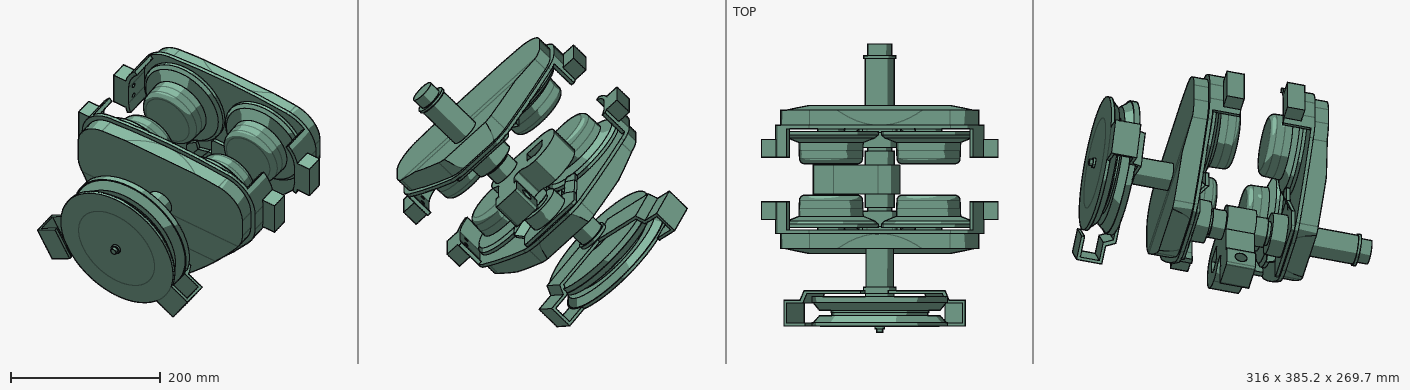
import cadquery as cq
import math


plate_inner_y = 67.5
plate_thickness = 5.0
plate_outer_y = plate_inner_y + plate_thickness
plate_half_width = 139.5
plate_top_z = 172.2
plate_bottom_z = -39.5
crown_slope = 5.4
corner_radius = 49.7
corner_x = plate_half_width - corner_radius
corner_z = 118.0
side_lower_z = 89.0
lower_bend_angle = 18.5
flank_top = (129.5, 58.5)
flank_middle = (90.5, 10.0)
flank_bottom = (53.0, -29.3)
flank_foot_bend = (40.5, -37.0)
foot_half_width = 25.0
cover_inset = 7.0
cover_upper_y = 92.5
cover_lower_y = 99.0
cover_slope_top_z = 65.5
cover_slope_bottom_z = 24.5
cover_draft = 5

arm_thickness = 5.8
arm_end_y = 29.5
arm_top_angle = 46
arm_bottom_angle = 22
bumper_end_x = 158.0
bumper_length = 24.0
bumper_height = 50.0
bumper_z = 103.3
bumper_y = arm_end_y + bumper_length / 2
bolt_hole_diameter = 5.8
bolt_hole_depth = 11.5
bolt_hole_spacing = 18.5

wheel_x = 65.0
wheel_z = 103.0
wheel_hub_radius = 17.7
flange_radius = 63.0
flange_bevel_radius = 58.5
tread_root_radius = 43.0
tread_middle_radius = 42.8
tread_tip_radius = 42.0
flange_back_y = 64.5
flange_front_y = 59.7
flange_bevel_y = 55.5
tread_root_y = 49.5
tread_middle_y = 39.0
wheel_face_y = 20.8
wheel_fillet = 7.5
boss_end_y = 42.5
boss_tip_radius = 28.0
boss_root_radius = 29.0

keeper_thickness = 4.5
keeper_neck_half_width = 22.7
keeper_top_z = 54.5
keeper_bottom_z = -33.5
keeper_corner_radius = 5.5
keeper_fold_top = (27.7, 29.0)
keeper_fold_bottom = (46.2, 1.0)
keeper_ramp_run = 12.5
keeper_ramp_rise = 9.2
keeper_ear_points = [(56.5, 33.5), (52.0, 39.3), (41.5, 46.5)]

hanger_width = 39.3
eye_radius = 27.5
shoulder_slope = 5
loop_shoulder = (-62.0, 22.0)
loop_upper_bend = (-81.5, 12.7)
loop_side = (-88.5, -8.0)
loop_lower_bend = (-80.5, -38.0)
loop_bottom = (-54, -53.0)
loop_underside = (-37.0, -48.0)
loop_crest = (-23.5, -40.5)
opening_right_x = -38.5
opening_left_x = -66.5
opening_side_z = -15.0
opening_bend = (-62.0, -27)
opening_bottom = (-52.8, -31.2)
opening_corner_z = -25.0
stem_bend = (-17.5, -42.5)
stem_root_z = -47.5
stem_half_width = 14.5
head_half_width = 19.3
head_top_z = -64.7
head_bottom_z = -97.5
head_fillet = 3.0
cross_hole_diameter = 16.0
cross_hole_z = -81.0

shaft_radius = 16.0
spacer_radius = 19.5
spacer_end_y = 37.8
shaft_front_y = -plate_outer_y
shaft_rear_y = 181.0
washer_radius = 21.5
washer_inner_y = 161.5
washer_outer_y = 165.3

drive_z = 78.0
tube_radius = 18.5
collar_radius = 22.0
collar_back_y = -143.7
guide_back_y = -148.5
sheet_thickness = 4.2
drive_hub_radius = 19.3
chain_wheel_radius = 90.5
rim_bevel_radius = 89.0
groove_lip_radius = 80.5
groove_radius = 65.5
groove_front_radius = 64.5
chain_wheel_back_y = -156.5
back_rim_end_y = -164.5
groove_back_y = -175.0
groove_step_y = -177.5
groove_front_y = -182.0
front_rim_start_y = -191.0
front_rim_end_y = -195.7
web_radius = 61.3
web_y = -196.5
nut_radius = 6.5
nut_end_y = -199.5
axle_radius = 4.2
axle_end_y = -204.2
guide_angle = 30
guide_width = 47.5
guide_slope_start = 87.0
guide_slope_end = 93.2
guide_end = 118.3
guide_lip_end = 85.5
guide_step_y = -161.0
left_guide_shift = 14.0


def revolve_about_y(profile):
    """Solid of revolution about the Y axis from (radius, y) points."""
    return cq.Workplane("XY").polyline(profile).close().revolve(360, (0, 0, 0), (0, 1, 0))


def rod(radius, start_y, end_y):
    """Round bar along Y, centred on the Y axis."""
    return cq.Workplane("XZ", origin=(0, start_y, 0)).circle(radius).extrude(start_y - end_y)


def box_between(x_range, y_range, z_range):
    size = [end - start for start, end in (x_range, y_range, z_range)]
    return cq.Workplane("XY", origin=(x_range[0], y_range[0], z_range[0])).box(*size, centered=False)


def mirrored(point):
    return (-point[0], point[1])


def side_outline(inset, start_y, end_y):
    """Rounded, tapering side outline, shrunk by inset and extruded between two Y positions."""
    diagonal = corner_radius * math.sqrt(0.5)
    left_edge = (-plate_half_width, corner_z)
    left_corner = (-corner_x - diagonal, corner_z + diagonal)
    shoulder_angle = math.radians(crown_slope)
    left_shoulder = (
        -corner_x - corner_radius * math.sin(shoulder_angle),
        corner_z + corner_radius * math.cos(shoulder_angle),
    )
    lower_left_edge = (-plate_half_width, side_lower_z)
    bend_angle = math.radians(lower_bend_angle)
    lower_bend = (
        -corner_x - corner_radius * math.cos(bend_angle),
        side_lower_z - corner_radius * math.sin(bend_angle),
    )
    foot_bend = mirrored(flank_foot_bend)
    foot = (-foot_half_width, plate_bottom_z)
    outline = (
        cq.Workplane("XZ", origin=(0, start_y, 0))
        .moveTo(*left_edge)
        .threePointArc(left_corner, left_shoulder)
        .threePointArc((0, plate_top_z), mirrored(left_shoulder))
        .threePointArc(mirrored(left_corner), mirrored(left_edge))
        .lineTo(*mirrored(lower_left_edge))
        .threePointArc(mirrored(lower_bend), flank_top)
        .threePointArc(flank_middle, flank_bottom)
        .threePointArc(mirrored(foot_bend), mirrored(foot))
        .lineTo(*foot)
        .threePointArc(foot_bend, mirrored(flank_bottom))
        .threePointArc(mirrored(flank_middle), mirrored(flank_top))
        .threePointArc(lower_bend, lower_left_edge)
        .close()
    )
    if inset:
        outline = outline.offset2D(-inset)
    return outline.extrude(start_y - end_y)


def make_cover():
    """Raised cover whose upper face steps back from the lower face over a short slope."""
    cover = side_outline(cover_inset, plate_outer_y, cover_lower_y)
    relief = (
        cq.Workplane("YZ", origin=(-plate_half_width, 0, 0))
        .moveTo(cover_lower_y, cover_slope_bottom_z)
        .lineTo(cover_upper_y, cover_slope_top_z)
        .lineTo(cover_upper_y, plate_top_z)
        .lineTo(cover_lower_y, plate_top_z)
        .close()
        .extrude(2 * plate_half_width)
    )
    cover_top_z = plate_top_z - cover_inset
    cover_bottom_z = plate_bottom_z + cover_inset
    taper = (cover_lower_y - plate_outer_y) * math.tan(math.radians(cover_draft))
    drafted_block = (
        cq.Workplane("YZ", origin=(-plate_half_width, 0, 0))
        .moveTo(plate_outer_y, cover_bottom_z)
        .lineTo(plate_outer_y, cover_top_z)
        .lineTo(cover_lower_y, cover_top_z - taper)
        .lineTo(cover_lower_y, cover_bottom_z + taper)
        .close()
        .extrude(2 * plate_half_width)
    )
    return cover.cut(relief).intersect(drafted_block)


def make_arm_sector():
    """Region on the +X side that bounds an arm, with ends cut square to the plate edge."""
    reach = 2 * corner_radius
    top = math.radians(arm_top_angle)
    bottom = math.radians(arm_bottom_angle)
    return (
        cq.Workplane("XZ", origin=(0, plate_inner_y, 0))
        .moveTo(corner_x, corner_z)
        .lineTo(corner_x + reach * math.cos(top), corner_z + reach * math.sin(top))
        .lineTo(corner_x + reach * math.cos(bottom), side_lower_z - reach * math.sin(bottom))
        .lineTo(corner_x, side_lower_z)
        .close()
        .extrude(plate_inner_y - arm_end_y)
    )


def make_arms():
    """Two curved arms that follow the plate edge and carry the bumpers."""
    ring = side_outline(0, arm_end_y, plate_inner_y).cut(
        side_outline(arm_thickness, arm_end_y, plate_inner_y)
    )
    arms = ring.intersect(make_arm_sector().union(make_arm_sector().mirror("YZ")))
    inner_x = plate_half_width - arm_thickness
    for side in (-1, 1):
        bumper_x = side * (plate_half_width - arm_thickness / 2 + bumper_end_x) / 2
        bumper_size = bumper_end_x - plate_half_width + arm_thickness / 2
        bumper = cq.Workplane("XY", origin=(bumper_x, bumper_y, bumper_z)).box(
            bumper_size, bumper_length, bumper_height
        )
        arms = arms.union(bumper)
        for offset in (-bolt_hole_spacing / 2, bolt_hole_spacing / 2):
            hole = (
                cq.Workplane("YZ", origin=(side * inner_x, bumper_y, bumper_z + offset))
                .circle(bolt_hole_diameter / 2)
                .extrude(side * bolt_hole_depth)
            )
            arms = arms.cut(hole)
    return arms


def make_running_wheel():
    profile = [
        (0, plate_inner_y),
        (wheel_hub_radius, plate_inner_y),
        (wheel_hub_radius, flange_back_y),
        (flange_radius, flange_back_y),
        (flange_radius, flange_front_y),
        (flange_bevel_radius, flange_bevel_y),
        (tread_root_radius, tread_root_y),
        (tread_middle_radius, tread_middle_y),
        (tread_tip_radius, wheel_face_y),
        (0, wheel_face_y),
    ]
    return revolve_about_y(profile).faces("<Y").edges().fillet(wheel_fillet)


def make_keeper_ear():
    """Ramp and raised flat ear on the +X side of the keeper plate."""
    run_x = keeper_fold_bottom[0] - keeper_fold_top[0]
    run_z = keeper_fold_bottom[1] - keeper_fold_top[1]
    fold_length = math.hypot(run_x, run_z)
    outward = (-run_z / fold_length, run_x / fold_length)
    front_y = plate_inner_y - keeper_thickness
    fold_plane = cq.Plane(
        origin=(keeper_fold_top[0], 0, keeper_fold_top[1]),
        xDir=(0, 1, 0),
        normal=(run_x, 0, run_z),
    )
    ramp = (
        cq.Workplane(fold_plane)
        .moveTo(plate_inner_y, 0)
        .lineTo(front_y, 0)
        .lineTo(front_y - keeper_ramp_rise, keeper_ramp_run)
        .lineTo(plate_inner_y - keeper_ramp_rise, keeper_ramp_run)
        .close()
        .extrude(fold_length)
    )
    ear_root = [
        (fold_end[0] + outward[0] * keeper_ramp_run, fold_end[1] + outward[1] * keeper_ramp_run)
        for fold_end in (keeper_fold_top, keeper_fold_bottom)
    ]
    ear = (
        cq.Workplane("XZ", origin=(0, plate_inner_y - keeper_ramp_rise, 0))
        .polyline(ear_root + keeper_ear_points)
        .close()
        .extrude(keeper_thickness)
    )
    return ramp.union(ear)


def make_keeper_plate():
    right_edge = [
        (keeper_neck_half_width, keeper_top_z),
        (keeper_neck_half_width, keeper_fold_top[1]),
        keeper_fold_top,
        keeper_fold_bottom,
        (keeper_fold_bottom[0], keeper_bottom_z),
    ]
    left_edge = [mirrored(point) for point in reversed(right_edge)]
    base = (
        cq.Workplane("XZ", origin=(0, plate_inner_y, 0))
        .polyline(right_edge + left_edge)
        .close()
        .extrude(keeper_thickness)
    )
    base = base.edges("|Y").edges(">Z or <Z").fillet(keeper_corner_radius)
    ear = make_keeper_ear()
    return base.union(ear).union(ear.mirror("YZ"))


def make_trolley_side():
    """Rear trolley side; the front one is its mirror image."""
    side = side_outline(0, plate_inner_y, plate_outer_y)
    side = side.union(make_cover()).union(make_arms()).union(make_keeper_plate())
    wheel = make_running_wheel()
    for x in (-wheel_x, wheel_x):
        side = side.union(wheel.translate((x, 0, wheel_z)))
    boss = revolve_about_y([
        (0, plate_inner_y),
        (boss_root_radius, plate_inner_y),
        (boss_tip_radius, boss_end_y),
        (0, boss_end_y),
    ])
    return side.union(boss)


def make_hanger():
    """Eye on the shaft, a curled loop beside it and a stem with a drilled head."""
    half_width = hanger_width / 2
    slope = math.radians(shoulder_slope)
    body = (
        cq.Workplane("XZ", origin=(0, half_width, 0))
        .moveTo(-eye_radius * math.sin(slope), eye_radius * math.cos(slope))
        .lineTo(*loop_shoulder)
        .threePointArc(loop_upper_bend, loop_side)
        .threePointArc(loop_lower_bend, loop_bottom)
        .spline([loop_underside, loop_crest], tangents=[(1, 0), (1, 0)], includeCurrent=True)
        .threePointArc(stem_bend, (-stem_half_width, stem_root_z))
        .lineTo(-stem_half_width, head_top_z)
        .lineTo(stem_half_width, head_top_z)
        .lineTo(stem_half_width, 0)
        .lineTo(0, 0)
        .close()
        .extrude(hanger_width)
    )
    loop_opening = (
        cq.Workplane("XZ", origin=(0, half_width, 0))
        .moveTo(opening_right_x, 0)
        .lineTo(opening_left_x, 0)
        .lineTo(opening_left_x, opening_side_z)
        .threePointArc(opening_bend, opening_bottom)
        .lineTo(opening_right_x, opening_corner_z)
        .close()
        .extrude(hanger_width)
    )
    head = box_between(
        (-head_half_width, head_half_width), (-half_width, half_width), (head_bottom_z, head_top_z)
    ).edges("|Y").fillet(head_fillet)
    cross_hole = (
        cq.Workplane("YZ", origin=(-head_half_width, 0, cross_hole_z))
        .circle(cross_hole_diameter / 2)
        .extrude(2 * head_half_width)
    )
    hanger = body.union(rod(eye_radius, -half_width, half_width)).union(head)
    return hanger.cut(loop_opening).cut(cross_hole).cut(rod(shaft_radius, -half_width, half_width))


def make_shaft():
    """Suspension shaft with its spacers and the retaining washer at the rear end."""
    shaft = rod(shaft_radius, shaft_front_y, shaft_rear_y)
    shaft = shaft.union(rod(spacer_radius, cover_lower_y, washer_inner_y))
    shaft = shaft.union(rod(washer_radius, washer_inner_y, washer_outer_y))
    shaft = shaft.union(rod(spacer_radius, hanger_width / 2, spacer_end_y))
    return shaft.union(rod(spacer_radius, -spacer_end_y, -hanger_width / 2))


def make_guide_arm():
    """Bent sheet arm along +X that ends in a channel around the chain wheel rim."""
    inner_step_y = guide_step_y - sheet_thickness
    lip_y = front_rim_end_y + sheet_thickness
    wall = guide_end - sheet_thickness
    return (
        cq.Workplane("XY", origin=(0, 0, -guide_width / 2))
        .moveTo(0, guide_back_y)
        .lineTo(guide_slope_start, guide_back_y)
        .lineTo(guide_slope_end, guide_step_y)
        .lineTo(guide_end, guide_step_y)
        .lineTo(guide_end, front_rim_end_y)
        .lineTo(guide_lip_end, front_rim_end_y)
        .lineTo(guide_lip_end, lip_y)
        .lineTo(wall, lip_y)
        .lineTo(wall, inner_step_y)
        .lineTo(guide_slope_end - sheet_thickness, inner_step_y)
        .lineTo(guide_slope_start - sheet_thickness, guide_back_y - sheet_thickness)
        .lineTo(0, guide_back_y - sheet_thickness)
        .close()
        .extrude(guide_width)
    )


def make_chain_drive():
    """Drive tube, chain wheel and chain guide, built on the Y axis and then raised."""
    wheel = revolve_about_y([
        (0, -cover_upper_y),
        (tube_radius, -cover_upper_y),
        (tube_radius, collar_back_y),
        (collar_radius, collar_back_y),
        (collar_radius, guide_back_y - sheet_thickness),
        (drive_hub_radius, guide_back_y - sheet_thickness),
        (drive_hub_radius, chain_wheel_back_y),
        (chain_wheel_radius, chain_wheel_back_y),
        (chain_wheel_radius, back_rim_end_y),
        (rim_bevel_radius, back_rim_end_y),
        (groove_lip_radius, groove_back_y),
        (groove_radius, groove_back_y),
        (groove_radius, groove_step_y),
        (groove_front_radius, groove_step_y),
        (groove_front_radius, groove_front_y),
        (groove_lip_radius, groove_front_y),
        (rim_bevel_radius, front_rim_start_y),
        (chain_wheel_radius, front_rim_start_y),
        (chain_wheel_radius, front_rim_end_y),
        (web_radius, web_y),
        (nut_radius, web_y),
        (nut_radius, nut_end_y),
        (axle_radius, nut_end_y),
        (axle_radius, axle_end_y),
        (0, axle_end_y),
    ])
    right_arm = make_guide_arm().rotate((0, 0, 0), (0, 1, 0), guide_angle)
    left_arm = right_arm.mirror("YZ").translate((-left_guide_shift, 0, 0))
    return wheel.union(right_arm).union(left_arm).translate((0, 0, drive_z))


shaft = make_shaft()
hanger = make_hanger()
rear_side = make_trolley_side()
front_side = rear_side.mirror("XZ")
trolley_sides = [side.cut(shaft) for side in (rear_side, front_side)]
chain_drive = make_chain_drive().cut(front_side)

result = cq.Compound.makeCompound([
    shaft.val(),
    hanger.val(),
    chain_drive.val(),
    *[side.val() for side in trolley_sides],
])